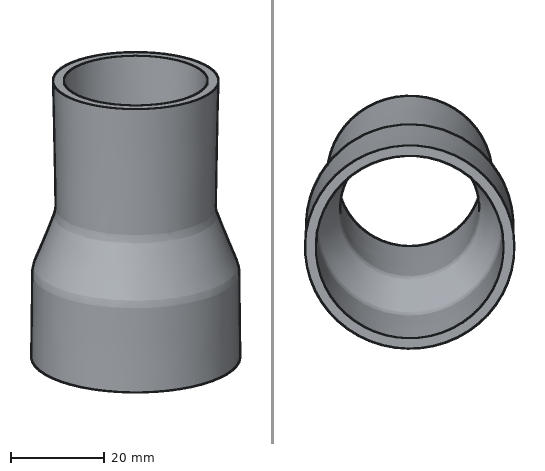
import cadquery as cq

height = 63.2
bottom_radius = 45.1 / 2
shoulder_radius = 22.3
neck_radius = 17.25
top_radius = 17.8
wall = 2.35

shoulder_height = 20.05
neck_height = 33.2
bend_radius = 4.75


def revolved_body(inset):
    """Solid of the reducer outline, moved inward by a radial inset."""
    return (
        cq.Workplane("XZ")
        .moveTo(0, 0)
        .lineTo(bottom_radius - inset, 0)
        .lineTo(shoulder_radius - inset, shoulder_height)
        .lineTo(neck_radius - inset, neck_height)
        .lineTo(top_radius - inset, height)
        .lineTo(0, height)
        .close()
        .revolve(360, (0, 0, 0), (0, 1, 0))
    )


def round_bends(body):
    """Round the two circular corners at the ends of the cone."""
    margin = 0.65
    bends = cq.selectors.BoxSelector(
        (-bottom_radius, -bottom_radius, shoulder_height - margin),
        (bottom_radius, bottom_radius, neck_height + margin),
        boundingbox=True,
    )
    return body.edges("%CIRCLE").edges(bends).fillet(bend_radius)


outside = round_bends(revolved_body(0))
bore = round_bends(revolved_body(wall))

result = outside.cut(bore)